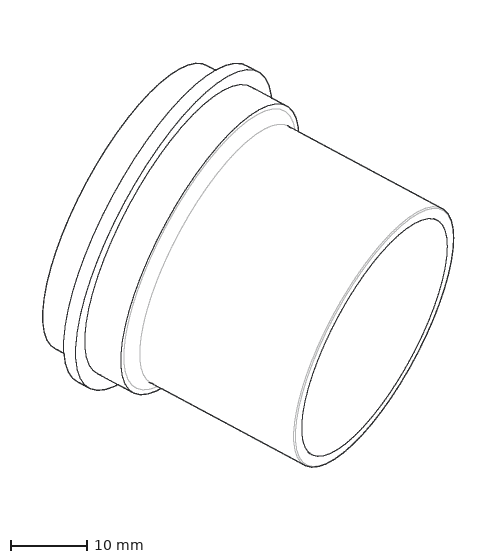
import cadquery as cq

total_length = 38.1
bore_diameter = 34.8
spigot_diameter = 42.05
flange_diameter = 46.95
shoulder_diameter = 42.57
tube_diameter = 38.1

spigot_length = 4.9
flange_thickness = 1.9
shoulder_length = 5.65
root_fillet = 1.5
end_rounding = 0.17

flange_end = spigot_length + flange_thickness
shoulder_end = flange_end + shoulder_length


def disc(start, end, diameter):
    """Solid cylinder on the X axis between two X positions."""
    return cq.Workplane("YZ", origin=(start, 0, 0)).circle(diameter / 2).extrude(end - start)


def root_blend():
    """Ring with a concave quarter round between the shoulder face and the tube."""
    tube_radius = tube_diameter / 2
    bore_radius = bore_diameter / 2
    blend_end = shoulder_end + root_fillet
    arc_middle = root_fillet * (1 - 0.5**0.5)
    return (
        cq.Workplane("XY")
        .moveTo(shoulder_end, bore_radius)
        .lineTo(shoulder_end, tube_radius + root_fillet)
        .threePointArc((shoulder_end + arc_middle, tube_radius + arc_middle), (blend_end, tube_radius))
        .lineTo(blend_end, bore_radius)
        .close()
        .revolve(360, (0, 0, 0), (1, 0, 0))
    )


spigot = disc(0, spigot_length, spigot_diameter)
flange = disc(spigot_length, flange_end, flange_diameter)
shoulder = disc(flange_end, shoulder_end, shoulder_diameter)
tube = disc(shoulder_end, total_length, tube_diameter).faces(">X").edges().fillet(end_rounding)
bore = disc(0, total_length, bore_diameter)

result = spigot.union(flange).union(shoulder).union(tube).union(root_blend()).cut(bore)